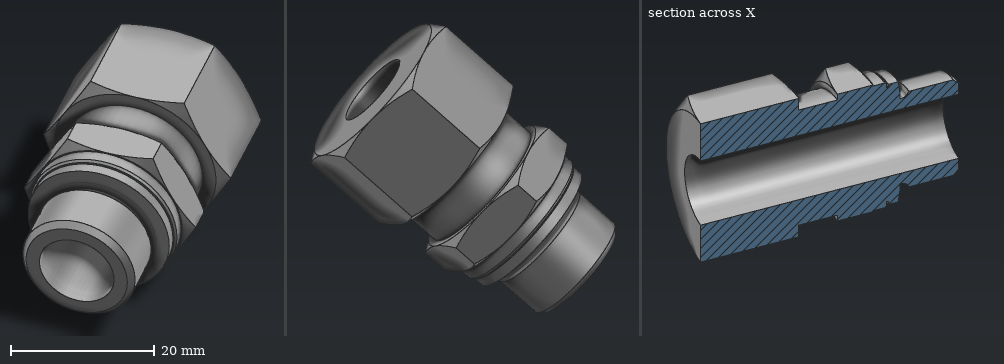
import cadquery as cq
import math

THREAD_CHAMFER_Y = 0.9
THREAD_END = 7.65
NECK_FLARE_Y = 8.0
NECK_ARC_Y = 8.63
WASHER_FRONT = 9.0
WASHER_RIM_Y = 9.2
WASHER_BACK = 10.8
FLANGE_FRONT = 11.0
FLANGE_RIM_Y = 11.35
HEX_FRONT = 13.1
HEX_BACK = 18.55
NUT_FRONT = 24.4
NUT_BACK = 39.4

BORE_RADIUS = 5.5
THREAD_TIP_RADIUS = 7.5
THREAD_RADIUS = 8.3
NECK_RADIUS = 7.45
NECK_FLARE_RADIUS = 7.75
NECK_ARC_MID_RADIUS = 7.53
WASHER_FACE_RADIUS = 8.6
WASHER_RADIUS = 10.45
GROOVE_RADIUS = 9.9
FLANGE_FACE_RADIUS = 10.55
FLANGE_RADIUS = 10.85
COLLAR_RADIUS = 10.0

HEX_SIDES = 6
HEX_FLATS = 22.0
NUT_FLATS = 24.0
HEX_CHAMFER_ANGLE = 30


def chamfered_hexagon(across_flats, front, back):
    """Hexagonal prism along Y, corners on X, with both ends turned to a cone."""
    flat_radius = across_flats / 2
    corner_radius = flat_radius / math.cos(math.pi / HEX_SIDES)
    drop = (corner_radius - flat_radius) * math.tan(math.radians(HEX_CHAMFER_ANGLE))
    prism = (
        cq.Workplane("XZ", origin=(0, front, 0))
        .polygon(HEX_SIDES, 2 * corner_radius)
        .extrude(front - back)
    )
    envelope = (
        cq.Workplane("XY")
        .moveTo(0, front)
        .lineTo(flat_radius, front)
        .lineTo(corner_radius, front + drop)
        .lineTo(corner_radius, back - drop)
        .lineTo(flat_radius, back)
        .lineTo(0, back)
        .close()
        .revolve(360, (0, 0, 0), (0, 1, 0))
    )
    return prism.intersect(envelope)


def turned_body():
    """Thread, undercut neck, sealing washer, flange and collar in one profile."""
    neck_arc_mid_y = (NECK_FLARE_Y + NECK_ARC_Y) / 2
    return (
        cq.Workplane("XY")
        .moveTo(0, 0)
        .lineTo(THREAD_TIP_RADIUS, 0)
        .lineTo(THREAD_RADIUS, THREAD_CHAMFER_Y)
        .lineTo(THREAD_RADIUS, THREAD_END)
        .lineTo(NECK_FLARE_RADIUS, NECK_FLARE_Y)
        .threePointArc((NECK_ARC_MID_RADIUS, neck_arc_mid_y), (NECK_RADIUS, NECK_ARC_Y))
        .lineTo(NECK_RADIUS, WASHER_FRONT)
        .lineTo(WASHER_FACE_RADIUS, WASHER_FRONT)
        .lineTo(WASHER_RADIUS, WASHER_RIM_Y)
        .lineTo(WASHER_RADIUS, WASHER_BACK)
        .lineTo(GROOVE_RADIUS, WASHER_BACK)
        .lineTo(GROOVE_RADIUS, FLANGE_FRONT)
        .lineTo(FLANGE_FACE_RADIUS, FLANGE_FRONT)
        .lineTo(FLANGE_RADIUS, FLANGE_RIM_Y)
        .lineTo(FLANGE_RADIUS, HEX_FRONT)
        .lineTo(COLLAR_RADIUS, HEX_FRONT)
        .lineTo(COLLAR_RADIUS, NUT_BACK)
        .lineTo(0, NUT_BACK)
        .close()
        .revolve(360, (0, 0, 0), (0, 1, 0))
    )


body_hexagon = chamfered_hexagon(HEX_FLATS, HEX_FRONT, HEX_BACK)
nut = chamfered_hexagon(NUT_FLATS, NUT_FRONT, NUT_BACK)
bore = cq.Workplane("XZ").circle(BORE_RADIUS).extrude(-NUT_BACK)

result = turned_body().union(body_hexagon).union(nut).cut(bore)